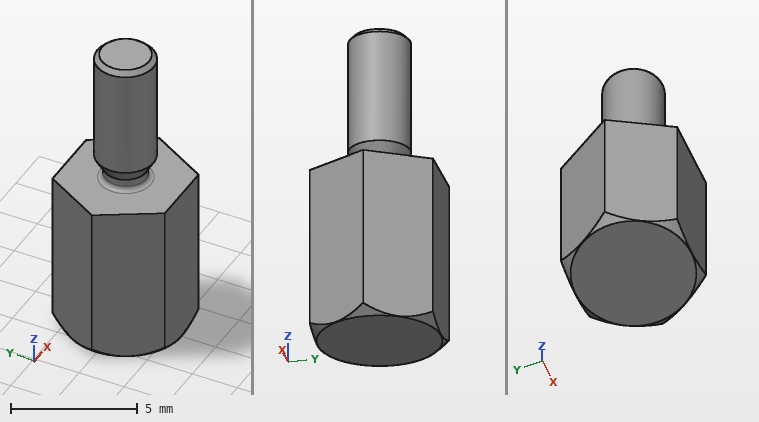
import cadquery as cq
import math

total_height = 13.0
across_corners = 5.77
hex_height = 7.0

stud_radius = 2.5 / 2
tip_chamfer = 0.21

groove_radius = 1.81 / 2
root_fillet = 0.21
groove_top = hex_height + 0.51
stud_start = hex_height + 1.1

base_radius = 2.48
corner_chamfer_height = 0.4


def make_hex_body():
    """Hexagonal prism with its lower corners trimmed by a cone."""
    prism = cq.Workplane("XY").polygon(6, across_corners).extrude(hex_height)
    corner_radius = across_corners / 2
    envelope = (
        cq.Workplane("XZ")
        .lineTo(base_radius, 0)
        .lineTo(corner_radius, corner_chamfer_height)
        .lineTo(corner_radius, hex_height)
        .lineTo(0, hex_height)
        .close()
        .revolve(360, (0, 0), (0, 1))
    )
    return prism.intersect(envelope)


def make_stud():
    """Revolved stud with a filleted relief groove and a chamfered tip."""
    fillet_top = hex_height + root_fillet
    arc_offset = root_fillet * (1 - math.sqrt(0.5))
    return (
        cq.Workplane("XZ")
        .moveTo(0, hex_height)
        .lineTo(groove_radius + root_fillet, hex_height)
        .threePointArc(
            (groove_radius + arc_offset, hex_height + arc_offset),
            (groove_radius, fillet_top),
        )
        .lineTo(groove_radius, groove_top)
        .lineTo(stud_radius, stud_start)
        .lineTo(stud_radius, total_height - tip_chamfer)
        .lineTo(stud_radius - tip_chamfer, total_height)
        .lineTo(0, total_height)
        .close()
        .revolve(360, (0, 0), (0, 1))
    )


result = make_hex_body().union(make_stud())